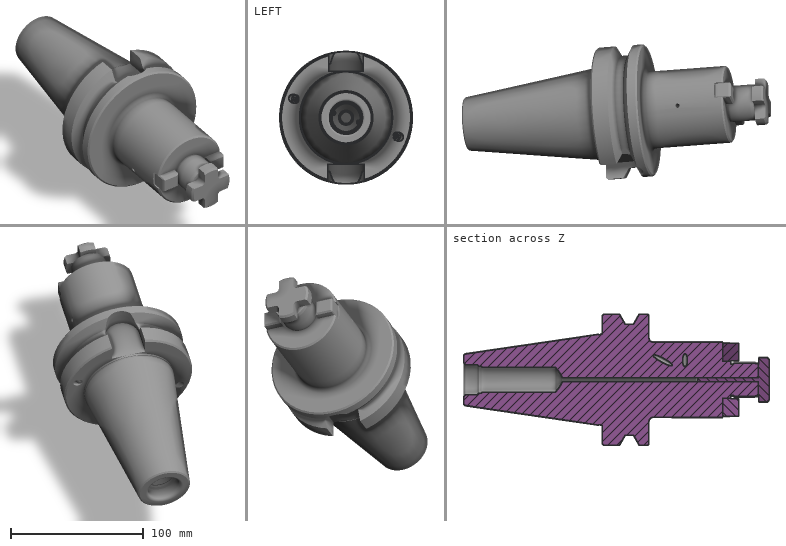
import cadquery as cq
import math

OVERALL_LENGTH = 230.8

TAPER_LENGTH = 101.8
TAPER_SMALL_RADIUS = 20.0
TAPER_RATE = 7 / 48
TAPER_END_CHAMFER = 1.0
NECK_GROOVE_RADIUS = 34.6
NECK_GROOVE_WIDTH = 1.5
NECK_RADIUS = 35.0

FLANGE_START = 104.5
FLANGE_END = 140.0
FLANGE_DIAMETER = 100.0
FLANGE_RADIUS = FLANGE_DIAMETER / 2
FLANGE_CHAMFER = 1.2
GROOVE_START = 117.7
GROOVE_END = 132.5
GROOVE_FLOOR_RADIUS = 42.5
GROOVE_SIDE_ANGLE = 30
GROOVE_SIDE_RUN = (FLANGE_RADIUS - GROOVE_FLOOR_RADIUS) * math.tan(math.radians(GROOVE_SIDE_ANGLE))

UPPER_SLOT_WIDTH = 25.8
LOWER_SLOT_WIDTH = 27.2
SLOT_FLOOR = 35.0
SLOT_END = 135.7

BODY_RADIUS = 29.0
BODY_END = 202.0
BODY_CHAMFER = 1.2
BODY_FILLET = 2.8
PILOT_RADIUS = 13.6
PILOT_END = 222.5
PILOT_LEAD_LENGTH = 2.5
PILOT_LEAD_DROP = 0.5
RELIEF_WIDTH = 1.6
RELIEF_RADIUS = 13.2

BORE_RADIUS = 12.5
BORE_MOUTH_RADIUS = 14.5
BORE_DEPTH = 10.5
LEAD_IN_RADIUS = 11.3
LEAD_IN_LENGTH = 1.8
THREAD_RADIUS = 10.6
THREAD_END = 69.2

BOLT_RADIUS = 5.5
BOLT_TIP = 175.5
BOLT_TIP_CHAMFER = 1.2
HEAD_RADIUS = 17.5
HEAD_CHAMFER = 1.5
LOBE_WIDTH = 12.0
LOBE_CORNER_RADIUS = 2.8

KEY_ANGLES = (0, 180)
KEY_WIDTH = 12.0
KEY_START = 195.7
KEY_END = 208.2
KEY_INNER = 14.0
KEY_OUTER = 28.0
KEY_END_CHAMFER = 1.2
KEY_OUTER_CHAMFER = 0.7

COOLANT_ANGLES = (20, 200)
PORT_RADIAL_PLACE = 42.0
PORT_TILT = 30
PORT_RADIUS = 3.2
PLUG_RECESS = 2.8
PLUG_LENGTH = 7.0
PLUG_SOCKET_ACROSS_CORNERS = 3.5
PLUG_SOCKET_DEPTH = 2.8
CHANNEL_RADIUS = 1.5
CHANNEL_RADIAL_PLACE = 10.0
OUTLET_X = 167.0
OUTLET_RADIUS = 1.6


def revolved(outline):
    """Solid of revolution about X from an outline drawn as (x, radius)."""
    return outline.close().revolve(360, (0, 0, 0), (1, 0, 0))


def rod(start, direction, radius, length):
    """Round rod from a start point along a direction."""
    return cq.Workplane(obj=cq.Solid.makeCylinder(radius, length, start, direction))


def around_axis(shape, angle):
    """Turn a shape about X by an angle counted from +Y toward +Z."""
    return shape.rotate((0, 0, 0), (1, 0, 0), angle)


def housing_blank():
    """Taper, flange, body and pilot turned in one piece, without the bore."""
    taper_end_radius = TAPER_SMALL_RADIUS + TAPER_LENGTH * TAPER_RATE
    outline = (
        cq.Workplane("XY")
        .moveTo(0, 0)
        .lineTo(0, TAPER_SMALL_RADIUS - TAPER_END_CHAMFER)
        .lineTo(TAPER_END_CHAMFER, TAPER_SMALL_RADIUS + TAPER_END_CHAMFER * TAPER_RATE)
        .lineTo(TAPER_LENGTH, taper_end_radius)
        .lineTo(TAPER_LENGTH, NECK_GROOVE_RADIUS)
        .lineTo(TAPER_LENGTH + NECK_GROOVE_WIDTH, NECK_GROOVE_RADIUS)
        .lineTo(TAPER_LENGTH + NECK_GROOVE_WIDTH, NECK_RADIUS)
        .lineTo(FLANGE_START, NECK_RADIUS)
        .lineTo(FLANGE_START, FLANGE_RADIUS - FLANGE_CHAMFER)
        .lineTo(FLANGE_START + FLANGE_CHAMFER, FLANGE_RADIUS)
        .lineTo(GROOVE_START, FLANGE_RADIUS)
        .lineTo(GROOVE_START + GROOVE_SIDE_RUN, GROOVE_FLOOR_RADIUS)
        .lineTo(GROOVE_END - GROOVE_SIDE_RUN, GROOVE_FLOOR_RADIUS)
        .lineTo(GROOVE_END, FLANGE_RADIUS)
        .lineTo(FLANGE_END - FLANGE_CHAMFER, FLANGE_RADIUS)
        .lineTo(FLANGE_END, FLANGE_RADIUS - FLANGE_CHAMFER)
        .lineTo(FLANGE_END, BODY_RADIUS + BODY_FILLET)
        .radiusArc((FLANGE_END + BODY_FILLET, BODY_RADIUS), -BODY_FILLET)
        .lineTo(BODY_END - BODY_CHAMFER, BODY_RADIUS)
        .lineTo(BODY_END, BODY_RADIUS - BODY_CHAMFER)
        .lineTo(BODY_END, RELIEF_RADIUS)
        .lineTo(BODY_END + RELIEF_WIDTH, RELIEF_RADIUS)
        .lineTo(BODY_END + RELIEF_WIDTH, PILOT_RADIUS)
        .lineTo(PILOT_END - PILOT_LEAD_LENGTH, PILOT_RADIUS)
        .lineTo(PILOT_END, PILOT_RADIUS - PILOT_LEAD_DROP)
        .lineTo(PILOT_END, 0)
    )
    return revolved(outline)


def bore():
    """Draw-bar bore from the small end, and the bolt hole that carries on through the pilot."""
    mouth_depth = BORE_MOUTH_RADIUS - BORE_RADIUS
    lead_in_start = BORE_DEPTH + BORE_RADIUS - LEAD_IN_RADIUS
    lead_in_end = lead_in_start + LEAD_IN_LENGTH
    cone_length = THREAD_RADIUS - BOLT_RADIUS
    outline = (
        cq.Workplane("XY")
        .moveTo(0, 0)
        .lineTo(0, BORE_MOUTH_RADIUS)
        .radiusArc((mouth_depth, BORE_RADIUS), -mouth_depth)
        .lineTo(BORE_DEPTH, BORE_RADIUS)
        .lineTo(lead_in_start, LEAD_IN_RADIUS)
        .lineTo(lead_in_end, LEAD_IN_RADIUS)
        .lineTo(lead_in_end, THREAD_RADIUS)
        .lineTo(THREAD_END, THREAD_RADIUS)
        .lineTo(THREAD_END + cone_length, BOLT_RADIUS)
        .lineTo(PILOT_END, BOLT_RADIUS)
        .lineTo(PILOT_END, 0)
    )
    return revolved(outline)


def drive_slot(side, width):
    """Slot open toward the taper with a round end, on the +Z (1) or -Z (-1) side."""
    half_width = width / 2
    arc_start = SLOT_END - half_width
    return (
        cq.Workplane("XY", origin=(0, 0, side * SLOT_FLOOR))
        .moveTo(TAPER_LENGTH, -half_width)
        .lineTo(arc_start, -half_width)
        .threePointArc((SLOT_END, 0), (arc_start, half_width))
        .lineTo(TAPER_LENGTH, half_width)
        .close()
        .extrude(side * FLANGE_RADIUS)
    )


def port_direction():
    """Direction of the flange port, leaning toward the axis."""
    tilt = math.radians(PORT_TILT)
    return cq.Vector(math.cos(tilt), -math.sin(tilt), 0)


def port_point(depth):
    """Point on the axis of the tilted flange port, a given depth below the flange face."""
    return cq.Vector(FLANGE_START, PORT_RADIAL_PLACE, 0) + port_direction() * depth


def coolant_passages():
    """Tilted flange port, feed, axial channel and radial outlet of one set, lying toward +Y."""
    overrun = 2 * PORT_RADIUS
    port = rod(
        port_point(-overrun), port_direction(), PORT_RADIUS, overrun + PLUG_RECESS + PLUG_LENGTH
    )
    channel_reach = (PORT_RADIAL_PLACE - CHANNEL_RADIAL_PLACE) / math.sin(math.radians(PORT_TILT))
    feed = rod(port_point(0), port_direction(), CHANNEL_RADIUS, channel_reach)
    axial = rod(
        cq.Vector(THREAD_END, CHANNEL_RADIAL_PLACE, 0),
        cq.Vector(1, 0, 0),
        CHANNEL_RADIUS,
        OUTLET_X - THREAD_END,
    )
    outlet = rod(
        cq.Vector(OUTLET_X, CHANNEL_RADIAL_PLACE, 0),
        cq.Vector(0, 1, 0),
        OUTLET_RADIUS,
        BODY_RADIUS,
    )
    return port.union(feed).union(axial).union(outlet)


def coolant_plug(angle):
    """Set screw with a hexagon socket that closes a flange port."""
    plane = cq.Plane(
        origin=port_point(PLUG_RECESS).toTuple(), xDir=(0, 0, 1), normal=port_direction().toTuple()
    )
    plug = cq.Workplane(plane).circle(PORT_RADIUS).extrude(PLUG_LENGTH)
    socket = (
        cq.Workplane(plane).polygon(6, PLUG_SOCKET_ACROSS_CORNERS).extrude(PLUG_SOCKET_DEPTH)
    )
    return around_axis(plug.cut(socket), angle)


def key_block():
    """Plain key lying toward +Y."""
    return cq.Workplane("XY").box(
        KEY_END - KEY_START, KEY_OUTER - KEY_INNER, KEY_WIDTH, centered=(False, False, True)
    ).translate((KEY_START, KEY_INNER, 0))


def key_seat():
    """Slot for a key in the end of the body, open to its outside."""
    return cq.Workplane("XY").box(
        BODY_END - KEY_START, BODY_RADIUS, KEY_WIDTH, centered=(False, False, True)
    ).translate((KEY_START, KEY_INNER, 0))


def drive_key(angle):
    """Key chamfered around its outer face and its free end."""
    key = key_block().faces(">X").edges().chamfer(KEY_END_CHAMFER)
    key = key.faces(">Y").edges().chamfer(KEY_OUTER_CHAMFER)
    return around_axis(key, angle)


def clamping_bolt():
    """Bolt whose head is a cross of four lobes."""
    tip_radius = BOLT_RADIUS - BOLT_TIP_CHAMFER
    bolt_body = revolved(
        cq.Workplane("XY")
        .moveTo(BOLT_TIP, 0)
        .lineTo(BOLT_TIP, tip_radius)
        .lineTo(BOLT_TIP + BOLT_TIP_CHAMFER, BOLT_RADIUS)
        .lineTo(PILOT_END, BOLT_RADIUS)
        .lineTo(PILOT_END, HEAD_RADIUS)
        .lineTo(OVERALL_LENGTH - HEAD_CHAMFER, HEAD_RADIUS)
        .lineTo(OVERALL_LENGTH, HEAD_RADIUS - HEAD_CHAMFER)
        .lineTo(OVERALL_LENGTH, 0)
    )
    gap_size = HEAD_RADIUS
    gap_centre = LOBE_WIDTH / 2 + gap_size / 2
    head_length = OVERALL_LENGTH - PILOT_END
    for y_side in (-1, 1):
        for z_side in (-1, 1):
            gap = (
                cq.Workplane("YZ", origin=(PILOT_END, y_side * gap_centre, z_side * gap_centre))
                .rect(gap_size, gap_size)
                .extrude(head_length)
                .edges("|X")
                .fillet(LOBE_CORNER_RADIUS)
            )
            bolt_body = bolt_body.cut(gap)
    return bolt_body


def arbor_housing():
    """The turned blank with every bore, slot, seat and passage cut."""
    housing = housing_blank().cut(bore())
    for side, width in ((1, UPPER_SLOT_WIDTH), (-1, LOWER_SLOT_WIDTH)):
        housing = housing.cut(drive_slot(side, width))
    for angle in KEY_ANGLES:
        housing = housing.cut(around_axis(key_seat(), angle))
    for angle in COOLANT_ANGLES:
        housing = housing.cut(around_axis(coolant_passages(), angle))
    return housing


housing = arbor_housing()
bolt = clamping_bolt()
keys = [drive_key(angle) for angle in KEY_ANGLES]
plugs = [coolant_plug(angle) for angle in COOLANT_ANGLES]

result = cq.Compound.makeCompound(
    [housing.val(), bolt.val(), *[key.val() for key in keys], *[plug.val() for plug in plugs]]
)